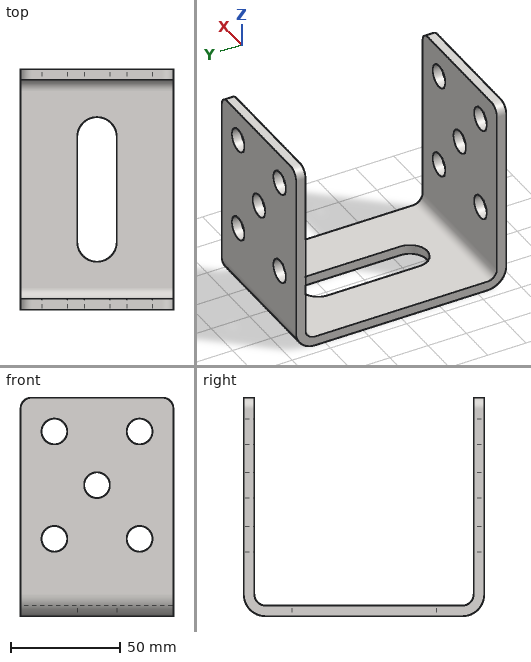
import cadquery as cq

width = 70.0
length = 110.0
height = 100.0

thickness = 5.0
inner_bend_radius = 5.1
outer_bend_radius = inner_bend_radius + thickness
corner_radius = 5.1

hole_diameter = 11.7
hole_offset_x = 19.5
hole_offset_z = 24.5
pattern_center_z = 60.0

slot_length = 66.0
slot_width = 17.9


def rounded_channel(channel_length, bottom_z, bend_radius):
    """Block centred in X and Y, with its two lower long edges rounded."""
    block = cq.Workplane("XY", origin=(0, 0, bottom_z)).box(
        width, channel_length, height - bottom_z, centered=(True, True, False)
    )
    return block.faces("<Z").edges("|X").fillet(bend_radius)


def bent_sheet():
    outside = rounded_channel(length, 0, outer_bend_radius)
    inside = rounded_channel(length - 2 * thickness, thickness, inner_bend_radius)
    sheet = outside.cut(inside)
    return sheet.edges("|Y and >Z").fillet(corner_radius)


def wall_holes():
    """Cylinders crossing both side walls."""
    centers = [(0, pattern_center_z)]
    for side in (-1, 1):
        for level in (-1, 1):
            centers.append((side * hole_offset_x, pattern_center_z + level * hole_offset_z))
    return (
        cq.Workplane("XZ")
        .pushPoints(centers)
        .circle(hole_diameter / 2)
        .extrude(length / 2, both=True)
    )


def base_slot():
    return cq.Workplane("XY").slot2D(slot_length, slot_width, 90).extrude(thickness)


result = bent_sheet().cut(wall_holes()).cut(base_slot())